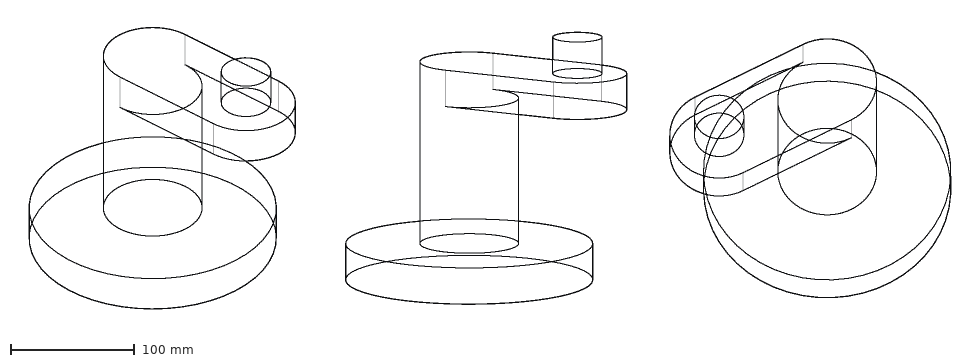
import cadquery as cq

overall_length = 240.0
plate_thickness = 30.0
column_height = 150.0
column_diameter = 80.0
pin_diameter = 40.0
pin_height = 30.0

arm_width = column_diameter
base_diameter = overall_length - arm_width / 2
pin_offset = base_diameter / 2

arm_top = plate_thickness + column_height
arm_bottom = arm_top - plate_thickness


def cylinder(diameter, height, bottom, x=0):
    """Upright cylinder with its axis at the given X position."""
    return cq.Workplane("XY", origin=(x, 0, bottom)).circle(diameter / 2).extrude(height)


def crank_arm():
    """Flat arm with round ends centred on the column and pin axes."""
    return (
        cq.Workplane("XY", origin=(pin_offset / 2, 0, arm_bottom))
        .slot2D(pin_offset + arm_width, arm_width)
        .extrude(plate_thickness)
    )


base = cylinder(base_diameter, plate_thickness, 0)
column = cylinder(column_diameter, column_height, plate_thickness)
pin = cylinder(pin_diameter, pin_height, arm_top, pin_offset)

result = base.union(column).union(crank_arm()).union(pin)